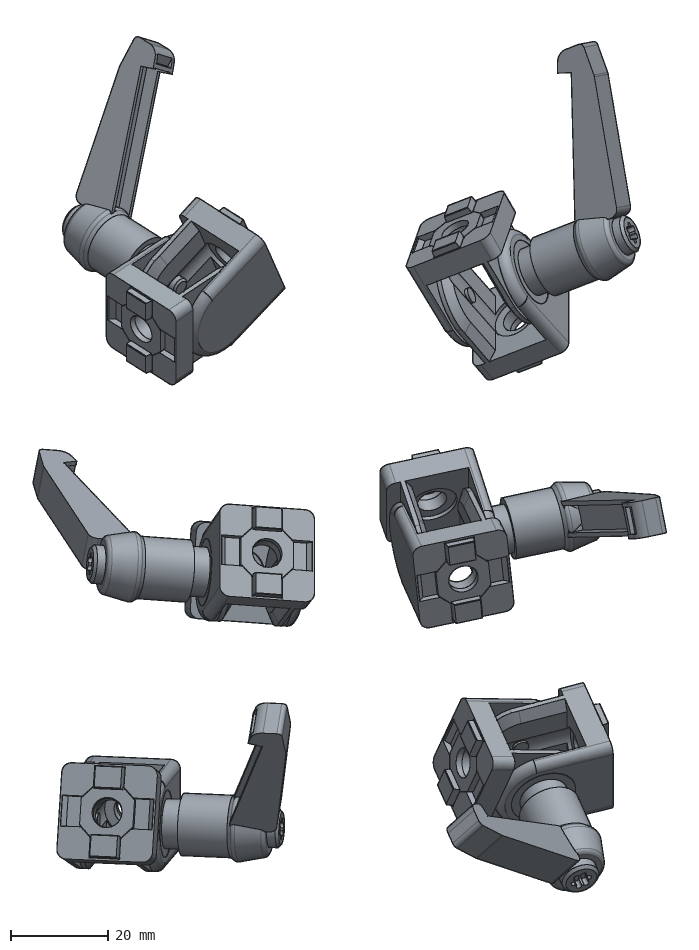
import cadquery as cq
import math


head_size = 19.995
half_head = head_size / 2
corner_radius = 2.0
face_distance = 15.1
base_distance = 10.0
tip_radius = 9.95
tip_rounding = 2.2
mould_draft = 0.6
fold_angle = 20.5
outer_arm_inside = 7.55
inner_arm_outside = 7.0
inner_arm_inside = 4.55
inner_rim = 1
bevel_angle = 60
pivot_disc_diameter = 17.0
bore_diameter = 6.2
clearance_diameter = 10.15
clearance_depth = 0.9
half_at_pivot = half_head - face_distance * math.tan(math.radians(mould_draft))

recess_depth = 1.4
recess_reach = 9.55
recess_slope = 1
recess_lip = 0.4
recess_arm_width = 6.4
octagon_width = 11.15
recess_diagonal = 8.5
insert_diagonal = 8.4
key_width = 6.05
key_start = 4.85
key_end = 9.45
key_height = 1.5
key_crown_width = 5.5
key_chamfer = 0.15

lever_angle = 48.1
lever_width = 7.6
lever_back = half_head - 49.3
lever_tip = 39.95
lever_root = 4.1
grip_start = 32.7
hook_top_x = -33.4
hook_nose = (-31.8, 35.95)
hook_notch = (-34.7, 35)
front_foot = (-24.25, 6.0)
heel_x = -33.75
lever_corner_radius = 1
hook_radius = 2.95
heel_radius = 1.95
grip_bend_radius = 1.95
channel_wall = 0.95
channel_depth = 2.95
channel_start = 6.65
channel_end = 36.15
hook_pocket_floor = 36.98
hook_pocket_x = -33.15
hub_left = -31.5
hub_flank_start = -30.65
hub_flank_end = -25.4
hub_shoulder = -24.45
sleeve_left = -23.65
sleeve_right = -13.3
hub_face_radius = 5.2
hub_top_radius = 6.1
hub_rim_radius = 7.25
hub_shoulder_radius = 7.0
sleeve_radius = 6.45
hub_round_middle = (-31.15, 5.8)
hub_rim_middle = (-24.9, 7.25)
hub_right_edge = -24.25

head_diameter = 8.0
head_hole_diameter = 8.1
head_left = -33.9
head_right = -27.1
head_chamfer = 0.65
stud_diameter = 4.0
stud_right = -3.1
stud_chamfer = 0.45
socket_depth = 1.95
socket_core_radius = 1.6
socket_lobe_radius = 0.6
socket_lobe_circle = 1.65
socket_lobes = 6
socket_turn = 12
bush_diameter = 10.3
bush_seat = -9.75
seat_diameter = 13.9
pin_diameter = 3.25
pin_left = 4.35
pin_right = 8.85


def x_cylinder(diameter, x_start, x_end):
    return cq.Workplane("YZ", origin=(x_start, 0, 0)).circle(diameter / 2).extrude(x_end - x_start)


def block(x_range, y_range, z_range):
    corners = list(zip(x_range, y_range, z_range))
    size = [high - low for low, high in zip(*corners)]
    return cq.Workplane().box(*size, centered=False).translate(corners[0])


def on_mounting_face(depth=0):
    """Workplane parallel to the mounting face, with its normal pointing into the joint."""
    return cq.Workplane(cq.Plane((0, depth - face_distance, 0), (1, 0, 0), (0, 1, 0)))


def cross_arm(width, turn):
    """One arm of the cross, with a sloping end."""
    outline = [
        (0, -face_distance),
        (recess_reach, -face_distance),
        (recess_reach, recess_lip - face_distance),
        (recess_reach - recess_slope, recess_depth - face_distance),
        (0, recess_depth - face_distance),
    ]
    arm = cq.Workplane("XY").polyline(outline).close().extrude(width / 2, both=True)
    return arm.rotate((0, 0, 0), (0, 1, 0), turn)


def octagon(diagonal):
    square = on_mounting_face().rect(octagon_width, octagon_width).extrude(recess_depth)
    diamond_side = diagonal * math.sqrt(2)
    diamond = on_mounting_face().transformed(rotate=(0, 0, 45)).rect(diamond_side, diamond_side)
    return square.intersect(diamond.extrude(recess_depth))


def drafted_head():
    """Tapering square prism whose end is rounded about the swivel axis, with a soft rim at -X."""
    prism = (
        on_mounting_face()
        .sketch().rect(head_size, head_size).vertices().fillet(corner_radius).finalize()
        .extrude(face_distance + tip_radius, taper=mould_draft)
    )
    tip = x_cylinder(2 * tip_radius, -half_at_pivot, head_size).faces("<X").edges().fillet(tip_rounding)
    shank_end = math.sqrt(tip_radius**2 - half_at_pivot**2)
    shank = block((-head_size, head_size), (-head_size, shank_end), (-head_size, head_size))
    return prism.intersect(shank.union(tip))


def inner_arm_envelope():
    """Round-ended plate whose edge is bevelled on the inner side."""
    back = -head_size
    bevel_run = inner_arm_outside - inner_rim - inner_arm_inside
    outline = (
        cq.Workplane("YZ", origin=(inner_arm_outside, 0, 0))
        .moveTo(back, half_head).lineTo(0, half_head)
        .threePointArc((half_head, 0), (0, -half_head))
        .lineTo(back, -half_head).close()
    )
    rim = outline.extrude(-inner_rim)
    bevel = rim.faces("<X").wires().toPending().workplane().extrude(bevel_run, taper=bevel_angle, combine=False)
    return rim.union(bevel)


def cross_recess():
    recess = octagon(recess_diagonal)
    for turn in (0, 90, 180, 270):
        recess = recess.union(cross_arm(recess_arm_width, turn))
    return recess


def joint_half():
    """Half with its mounting face towards -Y, its outer arm at -X and its inner arm at +X."""
    head = drafted_head()
    everywhere = (-head_size, head_size)
    arm_zone = (-base_distance, head_size)
    base = head.intersect(block(everywhere, (-head_size, -base_distance), everywhere))
    outer_arm = head.intersect(block((-head_size, -outer_arm_inside), arm_zone, everywhere))
    inner_arm = head.intersect(block((inner_arm_inside, inner_arm_outside), arm_zone, everywhere))
    inner_arm = inner_arm.intersect(inner_arm_envelope())
    disc = x_cylinder(pivot_disc_diameter, inner_arm_outside, outer_arm_inside)
    half = base.union(outer_arm).union(inner_arm).union(disc).cut(cross_recess())
    bore = on_mounting_face().circle(bore_diameter / 2).extrude(face_distance - base_distance)
    clearance_start = face_distance - base_distance - clearance_depth
    clearance = on_mounting_face(clearance_start).circle(clearance_diameter / 2).extrude(head_size)
    return half.cut(bore).cut(clearance)


def folded(body):
    """Turn a body of the first half into its place on the second half."""
    return body.rotate((0, 0, 0), (0, 0, 1), 180).rotate((0, 0, 0), (1, 0, 0), fold_angle)


def cross_insert():
    """Octagonal ring with two raised keys that fit a slot."""
    insert = octagon(insert_diagonal)
    for turn in (90, 270):
        insert = insert.union(cross_arm(key_width, turn))
    crown = -face_distance - key_height
    key_profile = [
        (-key_width / 2, -face_distance), (-key_crown_width / 2, crown),
        (key_crown_width / 2, crown), (key_width / 2, -face_distance),
    ]
    upper_key = cq.Workplane("XY", origin=(0, 0, key_start)).polyline(key_profile).close()
    upper_key = upper_key.extrude(key_end - key_start).faces("<Y").edges("|X").chamfer(key_chamfer)
    lower_key = upper_key.mirror("XY")
    bore = on_mounting_face().circle(bore_diameter / 2).extrude(recess_depth)
    return insert.union(upper_key).union(lower_key).cut(bore)


def lever_arm():
    """Lever standing along +Z, with an open channel on its +X side and a hooked tip."""
    arm = (
        cq.Workplane("XZ")
        .polyline([
            (lever_back, grip_start), (lever_back, lever_tip), (hook_top_x, lever_tip),
            hook_nose, hook_notch, front_foot, (hub_right_edge, lever_root), (heel_x, lever_root),
        ])
        .close().extrude(lever_width / 2, both=True)
    )
    arm = fillet_corner(arm, lever_back, lever_tip, lever_corner_radius)
    arm = fillet_corner(arm, hook_top_x, lever_tip, hook_radius)
    arm = fillet_corner(arm, lever_back, grip_start, grip_bend_radius)
    arm = fillet_corner(arm, heel_x, lever_root, heel_radius)
    channel_width = lever_width - 2 * channel_wall
    notch_x, notch_height = hook_notch
    foot_x, foot_height = front_foot
    slope = (foot_x - notch_x) / (foot_height - notch_height)
    channel_floor = [
        (notch_x + slope * (height - notch_height) - channel_depth, height)
        for height in (channel_start, channel_end)
    ]
    channel = (
        cq.Workplane("XZ")
        .polyline(channel_floor + [(sleeve_left, channel_end), (sleeve_left, channel_start)])
        .close().extrude(channel_width / 2, both=True)
    )
    pocket = block(
        (hook_pocket_x, sleeve_left), (-channel_width / 2, channel_width / 2), (hook_pocket_floor, lever_tip)
    )
    return arm.cut(channel).cut(pocket)


def fillet_corner(arm, x, height, radius):
    corner = cq.selectors.BoxSelector((x - 0.05, -lever_width, height - 0.05), (x + 0.05, lever_width, height + 0.05))
    return arm.edges(corner).fillet(radius)


def lever():
    hub = (
        cq.Workplane("XY")
        .moveTo(hub_left, 0).lineTo(hub_left, hub_face_radius)
        .threePointArc(hub_round_middle, (hub_flank_start, hub_top_radius))
        .lineTo(hub_flank_end, hub_rim_radius)
        .threePointArc(hub_rim_middle, (hub_shoulder, hub_shoulder_radius))
        .lineTo(sleeve_left, sleeve_radius).lineTo(sleeve_right, sleeve_radius)
        .lineTo(sleeve_right, 0).close()
        .revolve(360, (0, 0, 0), (1, 0, 0))
    )
    arm = lever_arm().rotate((0, 0, 0), (1, 0, 0), lever_angle - 90)
    head_hole = x_cylinder(head_hole_diameter, head_left, head_right)
    stud_hole = x_cylinder(stud_diameter, head_left, sleeve_right)
    return hub.union(arm).cut(head_hole).cut(stud_hole)


def star_socket():
    socket = x_cylinder(2 * socket_core_radius, head_left, head_left + socket_depth)
    for index in range(socket_lobes):
        lobe = x_cylinder(2 * socket_lobe_radius, head_left, head_left + socket_depth)
        turn = socket_turn + index * 360 / socket_lobes
        socket = socket.union(lobe.translate((0, -socket_lobe_circle, 0)).rotate((0, 0, 0), (1, 0, 0), -turn))
    return socket


def clamping_screw():
    head = x_cylinder(head_diameter, head_left, head_right).faces("<X").chamfer(head_chamfer)
    stud = x_cylinder(stud_diameter, head_right, stud_right).faces(">X").chamfer(stud_chamfer)
    return head.union(stud).cut(star_socket())


def bush():
    body = x_cylinder(bush_diameter, sleeve_right, bush_seat)
    return body.cut(x_cylinder(stud_diameter, sleeve_right, bush_seat))


def pivot_pin():
    return x_cylinder(pin_diameter, pin_left, pin_right)


stud_hole = x_cylinder(stud_diameter, -head_size, 0)
pin_hole = x_cylinder(pin_diameter, 0, pin_right)
bush_recess = x_cylinder(seat_diameter, -head_size, bush_seat)

lever_half = joint_half().cut(stud_hole).cut(pin_hole).cut(bush_recess)
folded_half = folded(joint_half()).cut(stud_hole).cut(pin_hole)
inserts = [cross_insert(), folded(cross_insert())]

bodies = [lever_half, folded_half, *inserts, lever(), clamping_screw(), bush(), pivot_pin()]
result = cq.Compound.makeCompound([body.solids().val() for body in bodies])